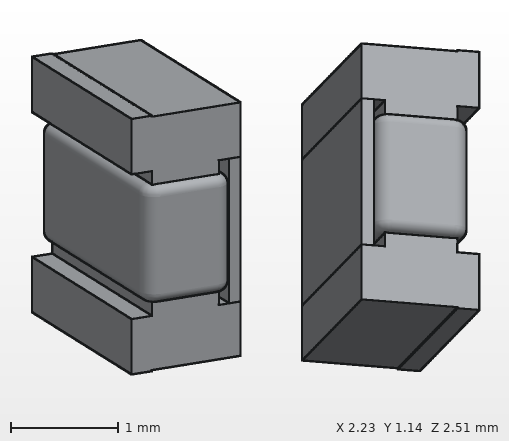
import cadquery as cq

height = 2.51
depth = 1.14
coil_width = 2.23
core_width = 2.048

flange_gap = 1.42
terminal_step = 0.01
front_recess = 0.213
neck_depth = 0.7

coil_height = 1.155
coil_wall = 0.1
coil_corner_radius = 0.15
coil_rim_radius = 0.1

plate_thickness = 0.12

front_y = -depth / 2
back_y = depth / 2
neck_front_y = front_y + front_recess
neck_back_y = neck_front_y + neck_depth
neck_center_y = (neck_front_y + neck_back_y) / 2
flange_top_z = height / 2 - terminal_step
flange_inner_z = flange_gap / 2


def make_block(width, y_min, y_max, z_min, z_max):
    """Block centred in X that spans the given Y and Z ranges."""
    return cq.Workplane("XY").box(width, y_max - y_min, z_max - z_min).translate(
        (0, (y_min + y_max) / 2, (z_min + z_max) / 2)
    )


def make_upper_flange():
    """Flange whose front strip, the terminal, rises slightly above the rest."""
    flange = make_block(core_width, neck_front_y, back_y, flange_inner_z, flange_top_z)
    terminal = make_block(core_width, front_y, neck_front_y, flange_inner_z, height / 2)
    return flange.union(terminal)


def make_coil():
    """Rounded block of winding that hides the middle of the neck."""
    coil_depth = neck_depth + 2 * coil_wall
    return (
        cq.Workplane("XY")
        .box(coil_width, coil_depth, coil_height)
        .edges("|Z")
        .fillet(coil_corner_radius)
        .faces("<Z or >Z")
        .edges()
        .fillet(coil_rim_radius)
        .translate((0, neck_center_y, 0))
    )


def make_wound_core():
    """Neck, both flanges and the winding as one solid."""
    neck = make_block(core_width, neck_front_y, neck_back_y, -flange_inner_z, flange_inner_z)
    upper_flange = make_upper_flange()
    lower_flange = upper_flange.mirror("XY")
    return neck.union(upper_flange).union(lower_flange).union(make_coil())


def make_cover_plate():
    """Plate that closes the back, flush with the flanges."""
    return make_block(core_width, back_y - plate_thickness, back_y, -flange_inner_z, flange_inner_z)


wound_core = make_wound_core()
cover_plate = make_cover_plate()

result = cq.Compound.makeCompound([wound_core.solids().val(), cover_plate.val()])